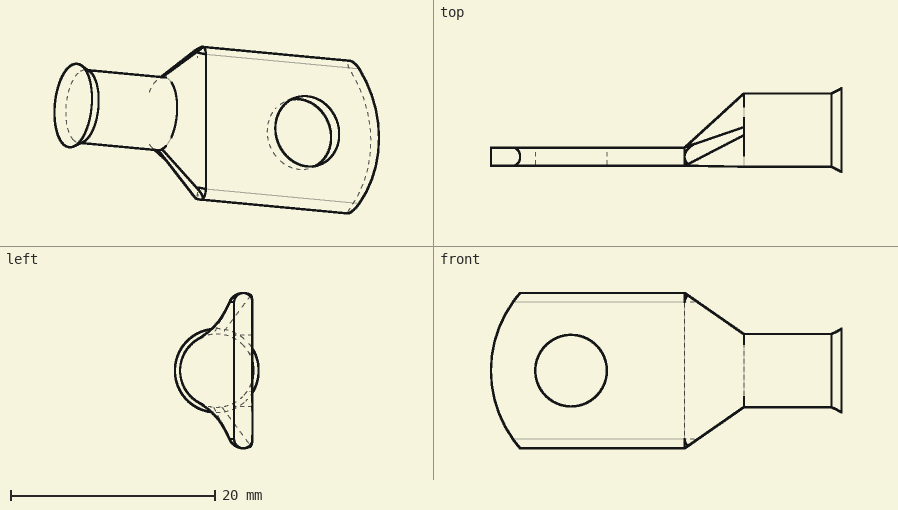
import cadquery as cq
import math


barrel_dia = 7.2
flare_dia = 8.24
flare_length = 1.0
total_length = 34.4
barrel_start = 24.8
flare_start = total_length - flare_length

palm_width = 15.24
palm_thickness = 1.8
palm_end = 19.0
palm_back = -3.5
tip_radius = 11.5
edge_radius = palm_thickness / 2
palm_front = palm_back + palm_thickness
palm_middle = palm_back + edge_radius
half_width = palm_width / 2

hole_dia = 7.0
hole_x = 7.87

flat_front = 0.3
flat_back = -0.5

edge_runout = 1.0


def make_palm():
    """Square-edged plate whose free end is an arc."""
    arc_depth = tip_radius - math.sqrt(tip_radius**2 - half_width**2)
    return (
        cq.Workplane("XZ", origin=(0, palm_front, 0))
        .moveTo(palm_end, -half_width)
        .lineTo(arc_depth, -half_width)
        .threePointArc((0, 0), (arc_depth, half_width))
        .lineTo(palm_end, half_width)
        .close()
        .extrude(palm_thickness)
    )


def make_neck():
    """Straight-line loft from the palm's rectangle to the barrel's circle."""
    barrel_radius = barrel_dia / 2
    front_z = math.sqrt(barrel_radius**2 - flat_front**2)
    back_z = math.sqrt(barrel_radius**2 - flat_back**2)
    flat_middle = (flat_front + flat_back) / 2
    side_z = math.sqrt(barrel_radius**2 - flat_middle**2)
    return (
        cq.Workplane("YZ", origin=(palm_end, 0, 0))
        .moveTo(palm_front, -half_width)
        .lineTo(palm_front, half_width)
        .lineTo(palm_back, half_width)
        .lineTo(palm_back, -half_width)
        .close()
        .workplane(offset=barrel_start - palm_end)
        .moveTo(flat_front, -front_z)
        .threePointArc((barrel_radius, 0), (flat_front, front_z))
        .threePointArc((flat_middle, side_z), (flat_back, back_z))
        .threePointArc((-barrel_radius, 0), (flat_back, -back_z))
        .threePointArc((flat_middle, -side_z), (flat_front, -front_z))
        .close()
        .loft(ruled=True)
    )


def make_barrel():
    """Round barrel ending in a conical flare, turned about the X axis."""
    return (
        cq.Workplane("XY")
        .moveTo(barrel_start, 0)
        .lineTo(barrel_start, barrel_dia / 2)
        .lineTo(flare_start, barrel_dia / 2)
        .lineTo(total_length, flare_dia / 2)
        .lineTo(total_length, 0)
        .close()
        .revolve(360, (0, 0, 0), (1, 0, 0))
    )


def make_edge_cutter(side):
    """Waste outside the full round of one long palm edge; side is +1 or -1 along Z.

    Past the palm the round opens into a cone that reaches the square corner, so it fades out.
    """
    round_z = side * (half_width - edge_radius)
    corner_radius = edge_radius * math.sqrt(2)
    cutter_length = palm_end + edge_runout
    edge_core = (
        cq.Workplane("XY", origin=(0, palm_middle, round_z))
        .lineTo(0, edge_radius)
        .lineTo(palm_end, edge_radius)
        .lineTo(cutter_length, corner_radius)
        .lineTo(cutter_length, 0)
        .close()
        .revolve(360, (0, 0, 0), (1, 0, 0))
    )
    waste = (
        cq.Workplane("YZ", origin=(0, palm_middle, round_z + side * edge_radius))
        .rect(2 * palm_thickness, 2 * edge_radius)
        .extrude(cutter_length)
    )
    return waste.cut(edge_core)


def make_stud_hole():
    return (
        cq.Workplane("XZ", origin=(hole_x, palm_front, 0))
        .circle(hole_dia / 2)
        .extrude(palm_thickness)
    )


result = make_palm().union(make_neck()).union(make_barrel())
for side in (1, -1):
    result = result.cut(make_edge_cutter(side))
result = result.cut(make_stud_hole())